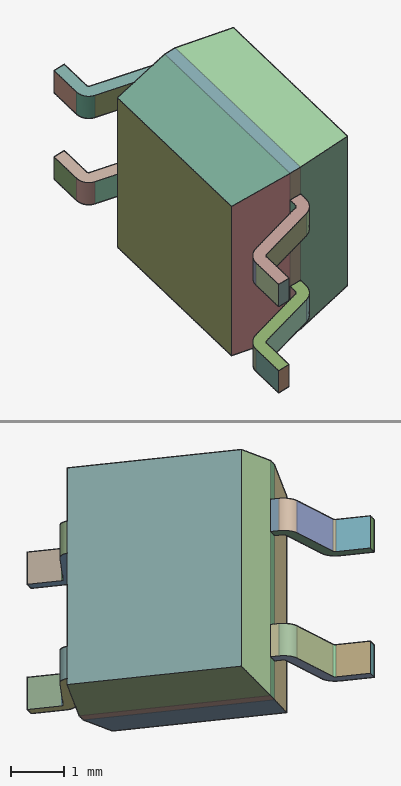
import cadquery as cq
import math

span = 6.8
foot_to_top = 3.0

body_width = 3.795
body_length = 4.7
side_inset = 0.17
end_inset = 0.185
body_standoff = 0.2

lead_thickness = 0.25
lead_width = 0.645
lead_pitch = 2.5
shoulder_height = 1.73
shoulder_length = 0.16
inner_radius = 0.05
outer_radius = inner_radius + lead_thickness
leg_angle = 75.0

foot_bottom = -foot_to_top / 2
body_top = foot_to_top / 2
body_bottom = foot_bottom + body_standoff
foot_top = foot_bottom + lead_thickness
shoulder_top = foot_bottom + shoulder_height
shoulder_bottom = shoulder_top - lead_thickness


def make_taper(start, end):
    """Frustum from the full package outline at Y = start to the inset face at Y = end."""
    plane = cq.Plane(origin=(0, start, 0), xDir=(1, 0, 0), normal=(0, 1, 0))
    return (
        cq.Workplane(plane)
        .rect(body_width, body_length)
        .workplane(offset=end - start)
        .rect(body_width - 2 * side_inset, body_length - 2 * end_inset)
        .loft(ruled=True)
    )


def make_package():
    """One molding: a straight band level with the lead shoulders, tapered to both faces."""
    band = cq.Workplane("XY").box(body_width, lead_thickness, body_length)
    band = band.translate((0, shoulder_top - lead_thickness / 2, 0))
    upper = make_taper(shoulder_top, body_top)
    lower = make_taper(shoulder_bottom, body_bottom)
    return band.union(upper).union(lower)


def make_lead(side, z_center):
    """Gull-wing lead butted against the package side; side is +1 for +X and -1 for -X."""
    root = body_width / 2
    tip = span / 2
    angle = math.radians(leg_angle)

    mean_radius = inner_radius + lead_thickness / 2
    leg_drop = shoulder_top - foot_top
    lead_run = leg_drop / math.tan(angle) + 2 * mean_radius * math.tan(angle / 2)
    shoulder_end = root + shoulder_length
    foot_start = shoulder_end + lead_run

    def shoulder_arc(radius, turn):
        """Point on the shoulder bend after turning from the shoulder towards the leg."""
        center_y = shoulder_bottom - inner_radius
        return (shoulder_end + radius * math.sin(turn), center_y + radius * math.cos(turn))

    def foot_arc(radius, turn):
        """Point on the foot bend after turning from the foot towards the leg."""
        center_y = foot_top + inner_radius
        return (foot_start - radius * math.sin(turn), center_y - radius * math.cos(turn))

    lead = (
        cq.Workplane("XY")
        .moveTo(root, shoulder_top)
        .lineTo(*shoulder_arc(outer_radius, 0))
        .threePointArc(shoulder_arc(outer_radius, angle / 2), shoulder_arc(outer_radius, angle))
        .lineTo(*foot_arc(inner_radius, angle))
        .threePointArc(foot_arc(inner_radius, angle / 2), foot_arc(inner_radius, 0))
        .lineTo(tip, foot_top)
        .lineTo(tip, foot_bottom)
        .lineTo(*foot_arc(outer_radius, 0))
        .threePointArc(foot_arc(outer_radius, angle / 2), foot_arc(outer_radius, angle))
        .lineTo(*shoulder_arc(inner_radius, angle))
        .threePointArc(shoulder_arc(inner_radius, angle / 2), shoulder_arc(inner_radius, 0))
        .lineTo(root, shoulder_bottom)
        .close()
        .extrude(lead_width / 2, both=True)
    )
    if side < 0:
        lead = lead.mirror("YZ")
    return lead.translate((0, 0, z_center))


package = make_package()
leads = [make_lead(side, z_side * lead_pitch / 2) for side in (-1, 1) for z_side in (-1, 1)]

result = cq.Compound.makeCompound([package.val(), *[lead.val() for lead in leads]])